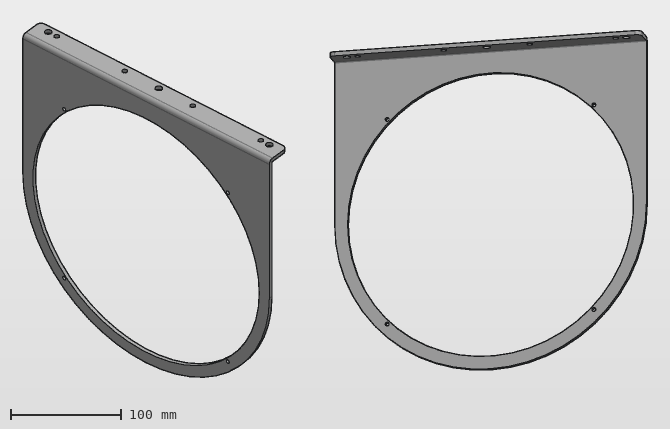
import cadquery as cq

width = 290.0
height = 302.0
flange_depth = 25.0
thickness = 4.0
inner_bend_radius = 0.5
outer_bend_radius = inner_bend_radius + thickness
flange_corner_radius = 5.0

outer_radius = width / 2
top_z = height - outer_radius
opening_diameter = 266.0
plate_hole_circle_diameter = 272.0
plate_hole_diameter = 3.5
plate_hole_count = 4
first_plate_hole_angle = 45.0

flange_hole_inset = 7.0
flange_hole_y = flange_depth - flange_hole_inset
large_hole_diameter = 6.6
small_hole_diameter = 5.0
large_hole_positions = [-130.0, 0.0, 130.0]
small_hole_positions = [-120.0, -40.0, 40.0, 120.0]


def bent_sheet():
    """L-shaped section with a rounded bend, extruded across the full width."""
    profile = (
        cq.Workplane("YZ")
        .moveTo(0, -outer_radius)
        .lineTo(0, top_z - outer_bend_radius)
        .radiusArc((outer_bend_radius, top_z), outer_bend_radius)
        .lineTo(flange_depth, top_z)
        .lineTo(flange_depth, top_z - thickness)
        .lineTo(outer_bend_radius, top_z - thickness)
        .radiusArc((thickness, top_z - outer_bend_radius), -inner_bend_radius)
        .lineTo(thickness, -outer_radius)
        .close()
    )
    return profile.extrude(width / 2, both=True)


def plate_outline():
    """Straight sides above the ring centre and a half circle below, through the full depth."""
    return (
        cq.Workplane("XZ")
        .moveTo(-outer_radius, top_z)
        .lineTo(-outer_radius, 0)
        .threePointArc((0, -outer_radius), (outer_radius, 0))
        .lineTo(outer_radius, top_z)
        .close()
        .extrude(-flange_depth)
    )


def plate_openings():
    """Large round opening with a circle of small holes just outside it."""
    opening = cq.Workplane("XZ").circle(opening_diameter / 2).extrude(-thickness)
    holes = (
        cq.Workplane("XZ")
        .polarArray(plate_hole_circle_diameter / 2, first_plate_hole_angle, 360, plate_hole_count)
        .circle(plate_hole_diameter / 2)
        .extrude(-thickness)
    )
    return opening.union(holes)


def flange_holes(positions, diameter):
    """A row of equal holes down through the flange."""
    return (
        cq.Workplane("XY", origin=(0, 0, top_z))
        .pushPoints([(x, flange_hole_y) for x in positions])
        .circle(diameter / 2)
        .extrude(-thickness)
    )


bracket = bent_sheet().intersect(plate_outline())
bracket = bracket.edges("|Z and >Y").fillet(flange_corner_radius)
bracket = bracket.cut(plate_openings())
bracket = bracket.cut(flange_holes(large_hole_positions, large_hole_diameter))
bracket = bracket.cut(flange_holes(small_hole_positions, small_hole_diameter))

result = bracket